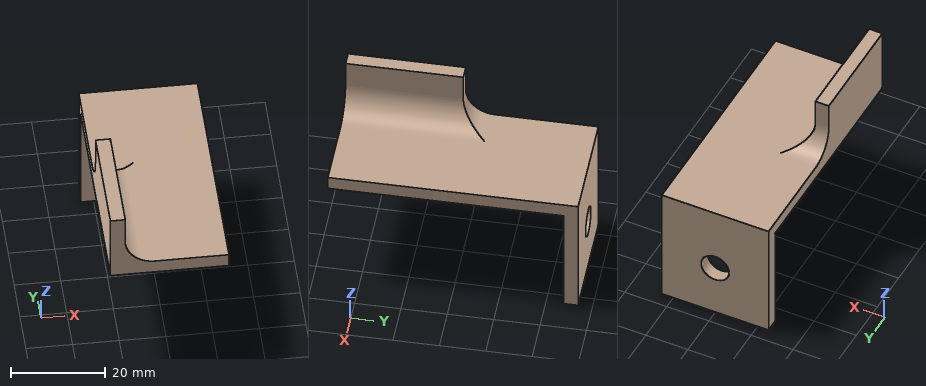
import cadquery as cq

width = 25.4
length = 54.0
thickness = 3.2
leg_drop = 25.4
wall_rise = 12.7
wall_length = 25.4
fillet_radius = 6.35
hole_diameter = 6.6

plate_top = leg_drop + thickness
height = plate_top + wall_rise
fillet_start = plate_top + fillet_radius


def cove(sketch, edge):
    """Draw a vertical edge down from the wall top, then a concave quarter round onto the plate."""
    return (
        sketch.lineTo(edge, height)
        .lineTo(edge, fillet_start)
        .radiusArc((edge + fillet_radius, plate_top), -fillet_radius)
    )


def across_profile():
    """XZ section of the wall and plate, carried along the whole length."""
    outline = cq.Workplane("XZ").moveTo(0, 0).lineTo(0, height)
    outline = cove(outline, thickness)
    return outline.lineTo(width, plate_top).lineTo(width, 0).close().extrude(-length)


def along_profile():
    """YZ section of the wall, plate and leg, carried across the whole width."""
    outline = cq.Workplane("YZ").moveTo(0, leg_drop).lineTo(0, height)
    outline = cove(outline, wall_length)
    return (
        outline.lineTo(length, plate_top)
        .lineTo(length, 0)
        .lineTo(length - thickness, 0)
        .lineTo(length - thickness, leg_drop)
        .close()
        .extrude(width)
    )


def leg_hole():
    """Cylinder through the centre of the leg."""
    return (
        cq.Workplane("XZ", origin=(0, length - thickness, 0))
        .center(width / 2, leg_drop / 2)
        .circle(hole_diameter / 2)
        .extrude(-thickness)
    )


result = across_profile().intersect(along_profile()).cut(leg_hole())